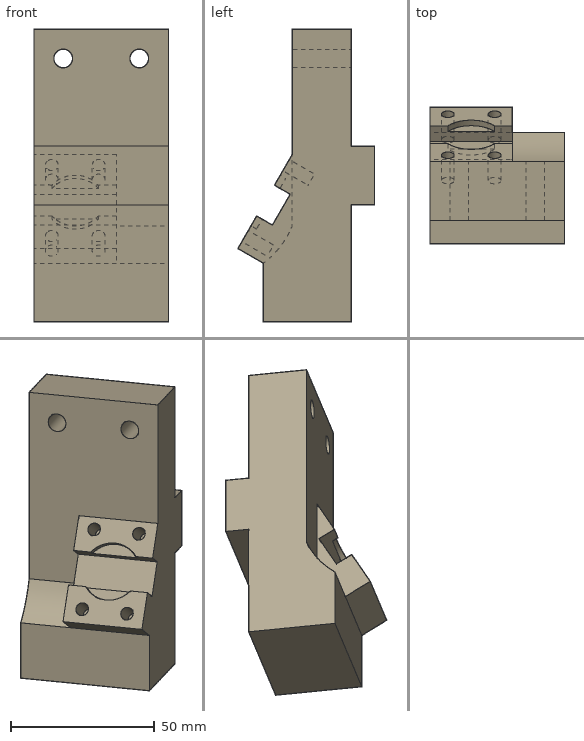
import cadquery as cq
import math

width = 46.9
height = 102.0
upper_depth = 20.6
lower_depth = 30.7
step_height = 20.4
step_arc_radius = 30.6
step_arc_rise = 13.0

rail_depth = 8.2
rail_bottom = 40.8
rail_height = 20.4

mount_diameter = 6.4
mount_spacing = 26.5
mount_top_offset = 10.2

cradle_width = 28.8
cradle_tilt = 30.0
cradle_tip_depth = 39.6
lip_length = 13.2
groove_length = 12.3
groove_depth = 6.3
recess_radius = 10.2
recess_depth = 2.2
screw_diameter = 4.5
screw_depth = 10.2
screw_spacing_x = 16.3
screw_spacing_slope = 28.6

sin_tilt = math.sin(math.radians(cradle_tilt))
cos_tilt = math.cos(math.radians(cradle_tilt))
cradle_tip_height = step_height + (cradle_tip_depth - lower_depth) * math.tan(math.radians(cradle_tilt))


def cradle_point(along, inward=0.0):
    """(Y, Z) of a point measured up the cradle face from its tip, and into the part."""
    return (
        cradle_tip_depth - along * sin_tilt - inward * cos_tilt,
        cradle_tip_height + along * cos_tilt - inward * sin_tilt,
    )


def extrude_x(profile, length):
    """Extrude a closed YZ profile along +X from X = 0."""
    return profile.close().extrude(length)


def step_arc_middle():
    """Midpoint of the hollow arc that joins the foot to the upper plate."""
    run = lower_depth - upper_depth
    chord = math.hypot(run, step_arc_rise)
    sagitta = step_arc_radius - math.sqrt(step_arc_radius**2 - (chord / 2) ** 2)
    return (
        (lower_depth + upper_depth) / 2 - sagitta * step_arc_rise / chord,
        step_height + step_arc_rise / 2 - sagitta * run / chord,
    )


def make_body():
    profile = (
        cq.Workplane("YZ")
        .moveTo(0, 0)
        .lineTo(lower_depth, 0)
        .lineTo(lower_depth, step_height)
        .threePointArc(step_arc_middle(), (upper_depth, step_height + step_arc_rise))
        .lineTo(upper_depth, height)
        .lineTo(0, height)
    )
    rail = cq.Workplane("XY").box(width, rail_depth, rail_height, centered=False)
    return extrude_x(profile, width).union(rail.translate((0, -rail_depth, rail_bottom)))


def make_cradle():
    face_end = cradle_point((cradle_tip_depth - upper_depth) / sin_tilt)
    profile = (
        cq.Workplane("YZ")
        .moveTo(lower_depth, step_height)
        .lineTo(*cradle_point(0))
        .lineTo(*face_end)
        .lineTo(0, face_end[1])
        .lineTo(0, step_height)
    )
    return extrude_x(profile, cradle_width)


def make_groove():
    groove_end = lip_length + groove_length
    profile = cq.Workplane("YZ").polyline(
        [
            cradle_point(lip_length),
            cradle_point(lip_length, groove_depth),
            cradle_point(groove_end, groove_depth),
            cradle_point(groove_end),
        ]
    )
    return extrude_x(profile, cradle_width)


face_center = cradle_point(lip_length + groove_length / 2)
cradle_face = cq.Plane(
    origin=(cradle_width / 2, *face_center),
    xDir=(1, 0, 0),
    normal=(0, cos_tilt, sin_tilt),
)

recess = cq.Workplane(cradle_face).circle(recess_radius).extrude(-recess_depth)
screw_holes = (
    cq.Workplane(cradle_face)
    .rarray(screw_spacing_x, screw_spacing_slope, 2, 2)
    .circle(screw_diameter / 2)
    .extrude(-screw_depth)
)
mount_holes = (
    cq.Workplane("XZ", origin=(width / 2, 0, height - mount_top_offset))
    .rarray(mount_spacing, 1, 2, 1)
    .circle(mount_diameter / 2)
    .extrude(-upper_depth)
)

result = make_body().union(make_cradle())
for cutter in (make_groove(), recess, screw_holes, mount_holes):
    result = result.cut(cutter)